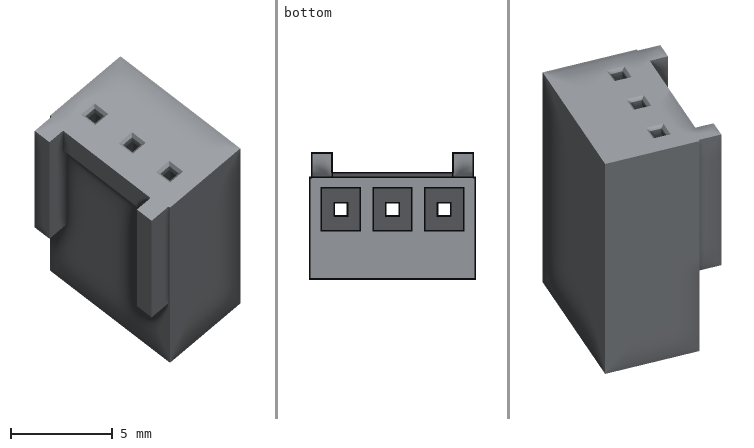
import cadquery as cq

body_width = 8.14
body_depth = 5.0
height = 12.85
pin_to_back = 3.43
back_y = pin_to_back
front_y = back_y - body_depth

rail_projection = 1.2
rail_width = 1.0
rail_length = 8.0
rail_side_inset = 0.1
rail_center_x = body_width / 2 - rail_side_inset - rail_width / 2

lip_projection = 0.23
lip_height = 1.6
lip_width = 2 * rail_center_x

pin_count = 3
pin_pitch = 2.54
hole_size = 0.64
lead_in_depth = 0.15
lead_in_size = hole_size + 2 * lead_in_depth

top_wall = 0.5
cavity_width = 1.9
cavity_depth = 2.1


def front_block(center_x, width, projection, length):
    """Block standing out of the front face, with its top flush with the body."""
    return (
        cq.Workplane("XY", origin=(center_x, front_y - projection, height - length))
        .box(width, projection, length, centered=(True, False, False))
    )


def contact_passage(center_x):
    """Cutter for one terminal cavity, its square pin hole and the tapered mouth."""
    pin_hole = cq.Workplane("XY", origin=(center_x, 0, 0)).rect(hole_size, hole_size).extrude(height)
    cavity = (
        cq.Workplane("XY", origin=(center_x, 0, 0))
        .rect(cavity_width, cavity_depth)
        .extrude(height - top_wall)
    )
    lead_in = (
        cq.Workplane("XY", origin=(center_x, 0, height - lead_in_depth))
        .rect(hole_size, hole_size)
        .workplane(offset=lead_in_depth)
        .rect(lead_in_size, lead_in_size)
        .loft(ruled=True)
    )
    return pin_hole.union(cavity).union(lead_in)


housing = (
    cq.Workplane("XY", origin=(0, front_y, 0))
    .box(body_width, body_depth, height, centered=(True, False, False))
)

for side in (-1, 1):
    housing = housing.union(front_block(side * rail_center_x, rail_width, rail_projection, rail_length))
housing = housing.union(front_block(0, lip_width, lip_projection, lip_height))

for index in range(pin_count):
    pin_x = (index - (pin_count - 1) / 2) * pin_pitch
    housing = housing.cut(contact_passage(pin_x))

result = housing